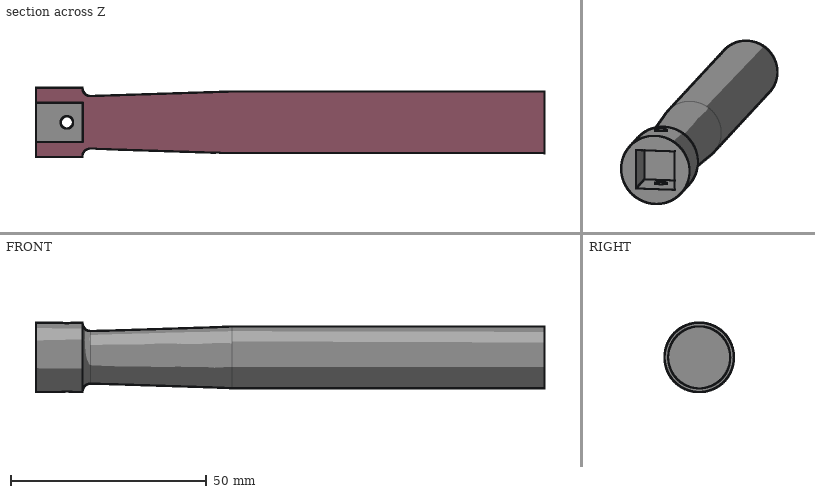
import cadquery as cq
import math

total_length = 130.2
head_length = 12.0
shoulder_radius = 2.0
taper_end = 50.2

head_diameter = 17.8
neck_diameter = 13.5
handle_diameter = 15.9

socket_width = 10.0
socket_depth = head_length
detent_diameter = 3.1
detent_position = 8.0


def make_body():
    """Revolve the half profile of head, concave shoulder fillet, tapered neck and handle about X."""
    neck_radius = neck_diameter / 2
    neck_start = head_length + shoulder_radius
    fillet_top = neck_radius + shoulder_radius
    arc_inset = shoulder_radius * math.sqrt(0.5)
    arc_middle = (neck_start - arc_inset, fillet_top - arc_inset)
    return (
        cq.Workplane("XY")
        .lineTo(0, head_diameter / 2)
        .lineTo(head_length, head_diameter / 2)
        .lineTo(head_length, fillet_top)
        .threePointArc(arc_middle, (neck_start, neck_radius))
        .lineTo(taper_end, handle_diameter / 2)
        .lineTo(total_length, handle_diameter / 2)
        .lineTo(total_length, 0)
        .close()
        .revolve(360, (0, 0, 0), (1, 0, 0))
    )


def make_socket():
    """Blind square socket in the head end."""
    return cq.Workplane("YZ").rect(socket_width, socket_width).extrude(socket_depth)


def make_detent_hole():
    """Hole along Z through both walls of the head, crossing the socket."""
    return (
        cq.Workplane("XY")
        .center(detent_position, 0)
        .circle(detent_diameter / 2)
        .extrude(head_diameter / 2, both=True)
    )


result = make_body().cut(make_socket()).cut(make_detent_hole())